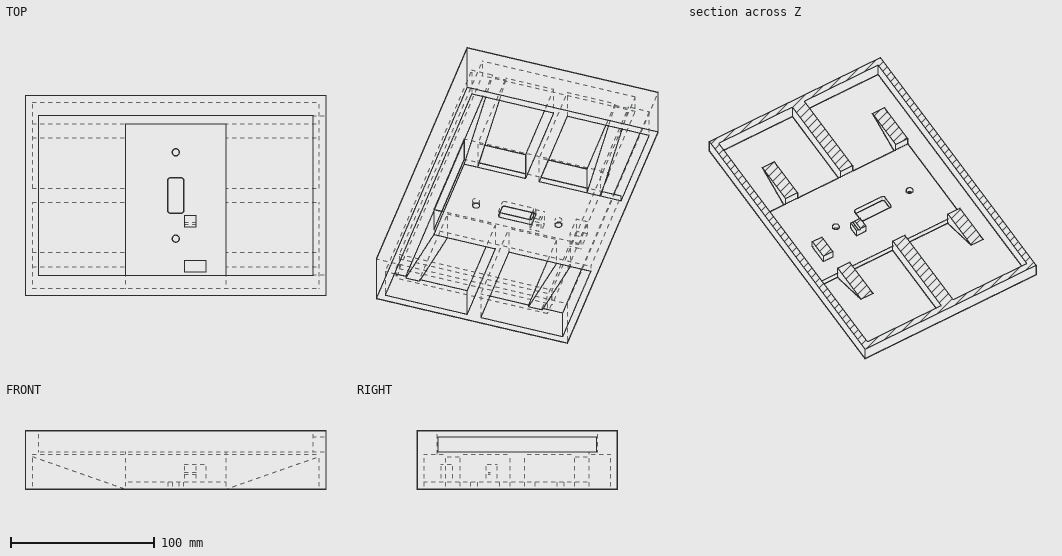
import cadquery as cq

LENGTH = 210.0
WIDTH = 140.0
HEIGHT = 41.0
WALL = 5.0

TRAY_LENGTH = 192.0
TRAY_WIDTH = 112.0
TRAY_DEPTH = 15.0
SLOT_WIDTH = 111.0
LIP_THICKNESS = 4.5
TRAY_FLOOR_Z = HEIGHT - TRAY_DEPTH
TRAY_FLOOR_THICKNESS = 1.5

CAVITY_LENGTH = LENGTH - 2 * WALL
CAVITY_WIDTH = WIDTH - 2 * WALL
CAVITY_HEIGHT = TRAY_FLOOR_Z - TRAY_FLOOR_THICKNESS

PLATE_LENGTH = 70.0
PLATE_THICKNESS = 5.0
WINDOW_FRONT_Y = -TRAY_WIDTH / 2
TOGGLE_LENGTH = 11.0
TOGGLE_WIDTH = 24.5
TOGGLE_CORNER_RADIUS = 1.5
SCREW_DIAMETER = 4.8
SCREW_SPACING = 60.3

RIB_THICKNESS = 10.0
RIB_SPACING = 45.0
PLATE_BACK_Y = RIB_SPACING + RIB_THICKNESS / 2

BLOCK_LEFT_X = 6.25
BLOCK_WIDTH = 8.0
BLOCK_HEIGHT = 12.5
SMALL_BLOCK_LENGTH = 8.0
SMALL_BLOCK_Y = -18.0
LARGE_BLOCK_LENGTH = 15.0
LARGE_BLOCK_Y = -49.3
PIN_HOLE_DIAMETER = 1.5
PIN_HOLE_OFFSET = 1.5
PIN_HOLE_Y = SMALL_BLOCK_Y - PIN_HOLE_OFFSET
PIN_HOLE_HEIGHT = 6.0


def box_between(x_range, y_range, z_range):
    """Box spanning the given (low, high) ranges."""
    spans = [high - low for low, high in (x_range, y_range, z_range)]
    corner = (x_range[0], y_range[0], z_range[0])
    return cq.Workplane("XY").box(*spans, centered=False).translate(corner)


def centred_range(size, middle=0.0):
    return (middle - size / 2, middle + size / 2)


def make_housing():
    body = box_between(centred_range(LENGTH), centred_range(WIDTH), (0, HEIGHT))
    tray = box_between(centred_range(TRAY_LENGTH), centred_range(TRAY_WIDTH), (TRAY_FLOOR_Z, HEIGHT))
    side_slot = box_between(
        (0, LENGTH / 2), centred_range(SLOT_WIDTH), (TRAY_FLOOR_Z, HEIGHT - LIP_THICKNESS)
    )
    cavity = box_between(centred_range(CAVITY_LENGTH), centred_range(CAVITY_WIDTH), (0, CAVITY_HEIGHT))
    window = box_between(
        centred_range(PLATE_LENGTH), (WINDOW_FRONT_Y, PLATE_BACK_Y), (CAVITY_HEIGHT, TRAY_FLOOR_Z)
    )
    return body.cut(tray).cut(side_slot).cut(cavity).cut(window)


def make_switch_plate():
    """Plate running from the front wall to the back edge of the window."""
    plate = box_between(
        centred_range(PLATE_LENGTH), (-CAVITY_WIDTH / 2, PLATE_BACK_Y), (0, PLATE_THICKNESS)
    )
    toggle_hole = (
        cq.Workplane("XY")
        .rect(TOGGLE_LENGTH, TOGGLE_WIDTH)
        .extrude(PLATE_THICKNESS)
        .edges("|Z")
        .fillet(TOGGLE_CORNER_RADIUS)
    )
    screw_holes = (
        cq.Workplane("XY")
        .pushPoints([(0, -SCREW_SPACING / 2), (0, SCREW_SPACING / 2)])
        .circle(SCREW_DIAMETER / 2)
        .extrude(PLATE_THICKNESS)
    )
    return plate.cut(toggle_hole).cut(screw_holes)


def make_rib(middle_y, outer_bottom_z):
    """Rib on the +X side; its bottom edge rises to outer_bottom_z at the outer face of the end wall."""
    inner_x = PLATE_LENGTH / 2
    outer_x = LENGTH / 2
    outline = [(inner_x, 0), (inner_x, CAVITY_HEIGHT), (outer_x, CAVITY_HEIGHT)]
    if outer_bottom_z < CAVITY_HEIGHT:
        outline.append((outer_x, outer_bottom_z))
    return (
        cq.Workplane("XZ", origin=(0, middle_y, 0))
        .polyline(outline)
        .close()
        .extrude(RIB_THICKNESS / 2, both=True)
    )


def add_ribs(body):
    """Full-depth middle rib between two triangular ones, mirrored to both ends."""
    ribs = [
        make_rib(0, 0),
        make_rib(RIB_SPACING, CAVITY_HEIGHT),
        make_rib(-RIB_SPACING, CAVITY_HEIGHT),
    ]
    for rib in ribs:
        body = body.union(rib).union(rib.mirror("YZ"))
    return body


def make_block(length, middle_y):
    x_range = (BLOCK_LEFT_X, BLOCK_LEFT_X + length)
    z_range = (PLATE_THICKNESS, PLATE_THICKNESS + BLOCK_HEIGHT)
    return box_between(x_range, centred_range(BLOCK_WIDTH, middle_y), z_range)


def make_small_block():
    """Block with a pin hole through it along X."""
    pin_hole = (
        cq.Workplane("YZ", origin=(BLOCK_LEFT_X, PIN_HOLE_Y, PLATE_THICKNESS + PIN_HOLE_HEIGHT))
        .circle(PIN_HOLE_DIAMETER / 2)
        .extrude(SMALL_BLOCK_LENGTH)
    )
    return make_block(SMALL_BLOCK_LENGTH, SMALL_BLOCK_Y).cut(pin_hole)


result = make_housing().union(make_switch_plate())
result = add_ribs(result)
result = result.union(make_small_block())
result = result.union(make_block(LARGE_BLOCK_LENGTH, LARGE_BLOCK_Y))